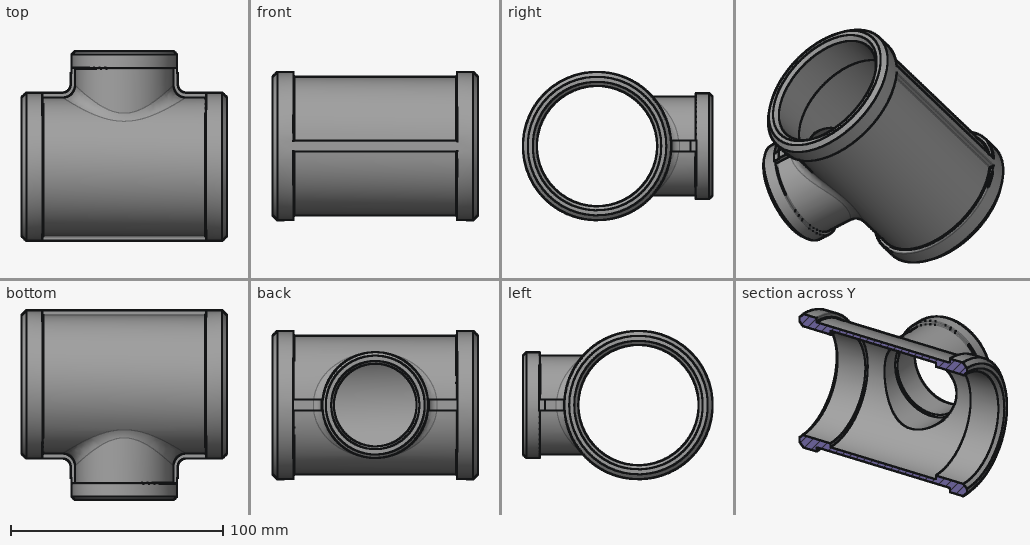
import cadquery as cq

run_length = 97.0
run_collar_dia = 70.0
run_collar_width = 10.0
run_collar_chamfer = 2.3
run_tube_dia = 65.6
run_thread_dia = 56.6
run_clearance_dia = 60.6
run_thread_depth = 18.0

branch_reach = 54.5
branch_collar_dia = 50.0
branch_collar_width = 8.0
branch_collar_chamfer = 1.65
branch_tube_dia = 46.8
branch_thread_dia = 39.0
branch_clearance_dia = 41.6
branch_thread_depth = 15.5

junction_fillet = 5.8
edge_round = 0.34

rib_width = 5.1
branch_rib_half_span = 25.3
branch_rib_step_y = 44.1
branch_rib_fillet = 3.9

half_length = run_length / 2
run_collar_radius = run_collar_dia / 2
run_tube_radius = run_tube_dia / 2
branch_collar_radius = branch_collar_dia / 2
branch_tube_radius = branch_tube_dia / 2

tube_half_length = half_length - run_collar_width + edge_round
branch_tube_end = branch_reach - branch_collar_width + edge_round

run_mouths = [
    cq.Plane(origin=(side * half_length, 0, 0), xDir=(0, 1, 0), normal=(side, 0, 0))
    for side in (-1, 1)
]
branch_mouth = cq.Plane(origin=(0, branch_reach, 0), xDir=(1, 0, 0), normal=(0, 1, 0))


def turn_at(mouth, profile):
    """Revolve a (radius, height) profile about the pipe axis and set it on a mouth plane."""
    turned = profile.close().revolve(360, (0, 0), (0, 1))
    return cq.Workplane(turned.val().moved(mouth.location))


def make_collar(mouth, outer_radius, tube_radius, width, chamfer):
    """Collar with a chamfered rim, a rounded back edge and a fillet down to the tube."""
    profile = (
        cq.Workplane("XZ")
        .lineTo(outer_radius - chamfer, 0)
        .lineTo(outer_radius, -chamfer)
        .lineTo(outer_radius, edge_round - width)
        .radiusArc((outer_radius - edge_round, -width), edge_round)
        .lineTo(tube_radius + edge_round, -width)
        .radiusArc((tube_radius, -width - edge_round), -edge_round)
        .lineTo(0, -width - edge_round)
    )
    return turn_at(mouth, profile)


def make_bore(mouth, thread_dia, clearance_dia, thread_depth, depth):
    """Bore cutter: 45 degree lead-in, thread bore, then the wider clearance inside."""
    thread_radius = thread_dia / 2
    clearance_radius = clearance_dia / 2
    profile = (
        cq.Workplane("XZ")
        .lineTo(clearance_radius, 0)
        .lineTo(thread_radius, thread_radius - clearance_radius)
        .lineTo(thread_radius, -thread_depth)
        .lineTo(clearance_radius, -thread_depth)
        .lineTo(clearance_radius, -depth)
        .lineTo(0, -depth)
    )
    return turn_at(mouth, profile)


def make_tubes():
    """Run and branch tubes with their junction blended."""
    run = cq.Workplane("YZ").circle(run_tube_radius).extrude(tube_half_length, both=True)
    branch = cq.Workplane("XZ").circle(branch_tube_radius).extrude(-branch_tube_end)
    junction = cq.selectors.BoxSelector(
        (-run_tube_radius, 0, -run_tube_radius),
        (run_tube_radius, run_tube_radius + edge_round, run_tube_radius),
    )
    return run.union(branch).edges(junction).fillet(junction_fillet)


def add_back_rib(body):
    """Rib along the -Y side, flush with the run collars, with rounded edges and root."""
    slab = (
        cq.Workplane("XY")
        .box(2 * tube_half_length, run_collar_radius, rib_width)
        .translate((0, -run_collar_radius / 2 - edge_round, 0))
    )
    envelope = cq.Workplane("YZ").circle(run_collar_radius).extrude(tube_half_length, both=True)
    long_edges = cq.selectors.BoxSelector(
        (-half_length, -run_collar_dia, -rib_width),
        (half_length, 0, rib_width),
    )
    with_rib = body.union(slab.intersect(envelope))
    return with_rib.edges("|X").edges(long_edges).fillet(edge_round)


def make_branch_ribs():
    """Web on both sides of the branch, curving from the run collars to the branch collar."""
    half_web = (
        cq.Workplane("XY")
        .lineTo(tube_half_length, 0)
        .lineTo(tube_half_length, run_collar_radius)
        .lineTo(branch_rib_half_span + branch_rib_fillet, run_collar_radius)
        .radiusArc((branch_rib_half_span, run_collar_radius + branch_rib_fillet), branch_rib_fillet)
        .lineTo(branch_rib_half_span, branch_rib_step_y)
        .lineTo(branch_collar_radius, branch_rib_step_y)
        .lineTo(branch_collar_radius, branch_tube_end)
        .lineTo(0, branch_tube_end)
        .close()
        .extrude(rib_width / 2, both=True)
    )
    return half_web.union(half_web.mirror("YZ"))


tee = add_back_rib(make_tubes()).union(make_branch_ribs())
for mouth in run_mouths:
    tee = tee.union(
        make_collar(mouth, run_collar_radius, run_tube_radius, run_collar_width, run_collar_chamfer)
    )
tee = tee.union(
    make_collar(
        branch_mouth,
        branch_collar_radius,
        branch_tube_radius,
        branch_collar_width,
        branch_collar_chamfer,
    )
)

for mouth in run_mouths:
    tee = tee.cut(
        make_bore(mouth, run_thread_dia, run_clearance_dia, run_thread_depth, half_length)
    )
tee = tee.cut(
    make_bore(
        branch_mouth, branch_thread_dia, branch_clearance_dia, branch_thread_depth, branch_reach
    )
)

result = tee